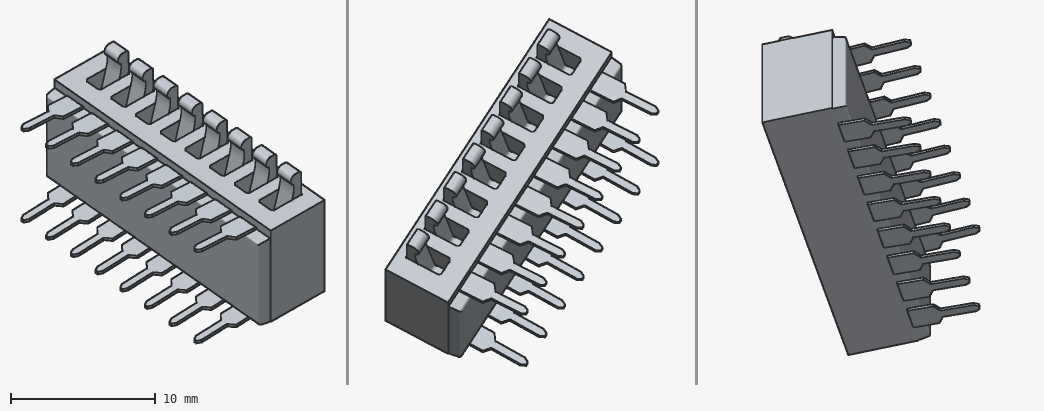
import cadquery as cq
import math


switch_count = 8
pitch = 2.55
switch_xs = [(i - (switch_count - 1) / 2) * pitch for i in range(switch_count)]

housing_length = 22.3
housing_depth = 5.02
housing_height = 8.12

base_side_inset = 0.07
base_top_drop = 0.74
base_straight_depth = 0.2
base_depth = 0.94
base_draft_angle = 7.0
base_edge_radius = 0.18

window_width = 1.5
window_back_wall = 0.74
window_length = 2.77
window_floor_depth = 2.23
window_corner_radius = 0.22

lever_clearance = 0.05
lever_rise = 2.1
lever_back_radius = 0.25
bulb_radius = 0.47
bulb_reach = 0.98
neck_depth = 0.7
neck_top_drop = 1.15
neck_bottom_drop = 1.85
ramp_angle = 15.0
ramp_start = 0.78
ramp_foot_radius = 0.3

lead_reach = 5.0
lead_thickness = 0.25
lead_angle = 3.1
lead_root_overlap = 0.02
lead_root_radius = 0.2
shoulder_width = 1.6
shoulder_end = 1.92
blade_width = 0.6
blade_start = 2.3
tip_width = 0.25
tip_start = 4.65

base_top = housing_height - base_top_drop
base_mid = base_top / 2
window_back = housing_depth - window_back_wall
window_floor = housing_height - window_floor_depth
lever_top = housing_height + lever_rise
lever_width = window_width - 2 * lever_clearance
lever_back = window_back - lever_clearance


def make_housing():
    """Plain block that carries the lever windows."""
    return cq.Workplane("XY").box(
        housing_length, housing_depth, housing_height, centered=(True, False, False)
    )


def make_base():
    """Plate with a straight root, drafted sides and a rounded front edge."""
    length = housing_length - 2 * base_side_inset
    root = cq.Workplane("XZ", origin=(0, 0, base_mid)).rect(length, base_top).extrude(base_straight_depth)
    drafted = (
        cq.Workplane("XZ", origin=(0, -base_straight_depth, base_mid))
        .rect(length, base_top)
        .extrude(base_depth - base_straight_depth, taper=base_draft_angle)
        .faces("<Y")
        .edges()
        .fillet(base_edge_radius)
    )
    return root.union(drafted)


def make_window(x):
    """Solid to cut out for one lever window, rounded at its two front corners."""
    return (
        cq.Workplane("XY", origin=(x, window_back - window_length / 2, window_floor))
        .rect(window_width, window_length)
        .extrude(window_floor_depth)
        .edges("|Z and <Y")
        .fillet(window_corner_radius)
    )


def make_lever(x):
    """Lever with a rounded head, a concave neck and a ramp that blends into the window floor."""
    bulb_depth = bulb_reach - bulb_radius
    bulb_z = lever_top - bulb_radius
    neck_angle = math.acos((neck_depth - bulb_depth) / bulb_radius)
    bulb_end_z = bulb_z - bulb_radius * math.sin(neck_angle)
    neck_top = lever_top - neck_top_drop
    neck_bottom = lever_top - neck_bottom_drop

    ramp = math.radians(ramp_angle)
    blend_top = window_floor + ramp_foot_radius * (1 - math.sin(ramp))
    blend_start = ramp_start + (neck_bottom - blend_top) * math.tan(ramp)
    blend_end = blend_start + ramp_foot_radius * math.cos(ramp)
    blend_centre_z = window_floor + ramp_foot_radius
    blend_mid_angle = (ramp + math.pi / 2) / 2
    blend_mid = (
        blend_end - ramp_foot_radius * math.cos(blend_mid_angle),
        blend_centre_z - ramp_foot_radius * math.sin(blend_mid_angle),
    )

    back_top_corner = lever_back_radius * (1 - math.sqrt(0.5))
    outline = (
        cq.Workplane("YZ", origin=(x - lever_width / 2, 0, 0))
        .moveTo(lever_back, window_floor)
        .lineTo(lever_back, lever_top - lever_back_radius)
        .threePointArc(
            (lever_back - back_top_corner, lever_top - back_top_corner),
            (lever_back - lever_back_radius, lever_top),
        )
        .lineTo(lever_back - bulb_depth, lever_top)
        .threePointArc((lever_back - bulb_reach, bulb_z), (lever_back - neck_depth, bulb_end_z))
        .lineTo(lever_back - neck_depth, neck_top)
        .tangentArcPoint((lever_back - ramp_start, neck_bottom), relative=False)
        .lineTo(lever_back - blend_start, blend_top)
        .threePointArc((lever_back - blend_mid[0], blend_mid[1]), (lever_back - blend_end, window_floor))
        .close()
    )
    return outline.extrude(lever_width)


def make_top_lead(x):
    """Flat lead with a wide shoulder and a narrow pointed blade, splayed upward from the top of the base."""
    half_outline = [
        (shoulder_width / 2, 0),
        (shoulder_width / 2, -shoulder_end),
        (blade_width / 2, -blade_start),
        (blade_width / 2, -tip_start),
        (tip_width / 2, -lead_reach),
    ]
    mirrored_outline = [(-px, py) for px, py in reversed(half_outline)]
    plan = (
        cq.Workplane("XY", origin=(x, 0, 0))
        .polyline(half_outline + mirrored_outline)
        .close()
        .extrude(housing_height)
    )

    root_z = base_top - lead_root_overlap
    tip_z = root_z + lead_reach * math.tan(math.radians(lead_angle))
    strip = (
        cq.Workplane("YZ", origin=(x - shoulder_width / 2, 0, 0))
        .polyline([
            (0, root_z),
            (-lead_reach, tip_z),
            (-lead_reach, tip_z + lead_thickness),
            (0, root_z + lead_thickness),
        ])
        .close()
        .extrude(shoulder_width)
        .faces(">Y")
        .edges(">Z")
        .fillet(lead_root_radius)
    )
    return plan.intersect(strip)


result = make_housing().union(make_base())
for switch_x in switch_xs:
    top_lead = make_top_lead(switch_x)
    bottom_lead = top_lead.mirror("XY", (0, 0, base_mid))
    result = result.cut(make_window(switch_x)).union(make_lever(switch_x))
    result = result.union(top_lead).union(bottom_lead)